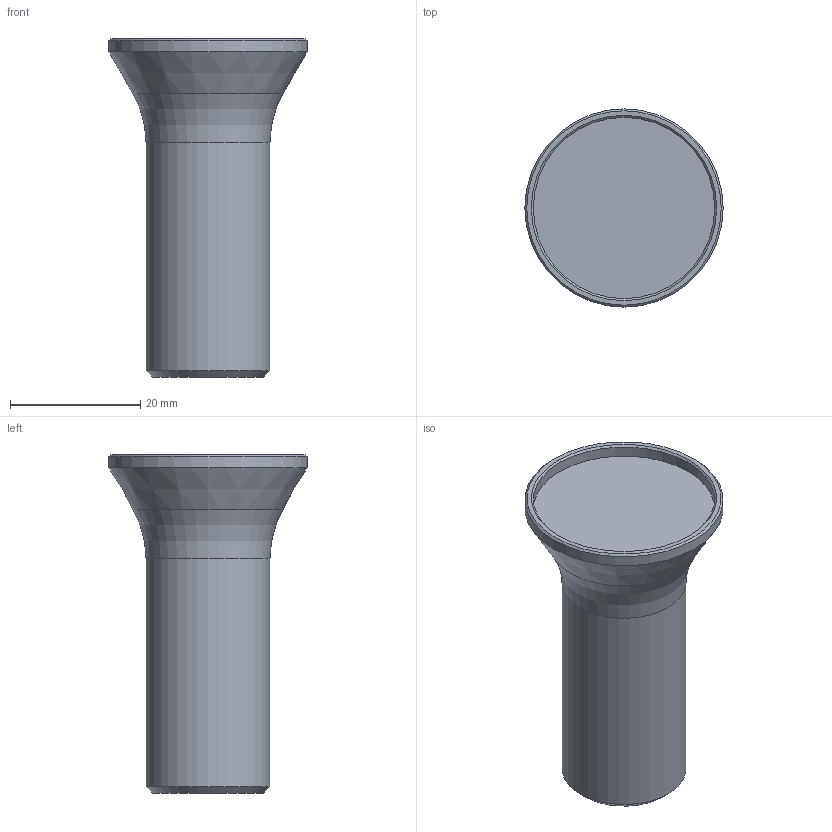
import cadquery as cq
import math

total_height = 52.0
shaft_diameter = 19.06
head_diameter = 30.49
foot_chamfer = 1.0
rim_height = 2.0
rim_chamfer = 0.3
flare_angle = math.radians(30)
flare_radius = 15.0
recess_diameter = 27.89
recess_depth = 2.0
recess_chamfer = 0.3

shaft_radius = shaft_diameter / 2
head_radius = head_diameter / 2
rim_base_z = total_height - rim_height
blend_end_radius = shaft_radius + flare_radius * (1 - math.cos(flare_angle))
cone_height = (head_radius - blend_end_radius) / math.tan(flare_angle)
blend_end_z = rim_base_z - cone_height
blend_start_z = blend_end_z - flare_radius * math.sin(flare_angle)
blend_mid_point = (
    shaft_radius + flare_radius * (1 - math.cos(flare_angle / 2)),
    blend_start_z + flare_radius * math.sin(flare_angle / 2),
)


def make_body():
    """Revolve the shaft, the flared neck and the cylindrical rim as one solid."""
    half_profile = (
        cq.Workplane("XZ")
        .lineTo(shaft_radius - foot_chamfer, 0)
        .lineTo(shaft_radius, foot_chamfer)
        .lineTo(shaft_radius, blend_start_z)
        .threePointArc(blend_mid_point, (blend_end_radius, blend_end_z))
        .lineTo(head_radius, rim_base_z)
        .lineTo(head_radius, total_height - rim_chamfer)
        .lineTo(head_radius - rim_chamfer, total_height)
        .lineTo(0, total_height)
        .close()
    )
    return half_profile.revolve(360, (0, 0, 0), (0, 1, 0))


def cut_recess(body):
    """Sink the flat round recess into the head and chamfer its mouth."""
    recess_radius = recess_diameter / 2
    floor_z = total_height - recess_depth
    half_profile = (
        cq.Workplane("XZ")
        .moveTo(0, floor_z)
        .lineTo(recess_radius, floor_z)
        .lineTo(recess_radius, total_height - recess_chamfer)
        .lineTo(recess_radius + recess_chamfer, total_height)
        .lineTo(0, total_height)
        .close()
    )
    return body.cut(half_profile.revolve(360, (0, 0, 0), (0, 1, 0)))


result = cut_recess(make_body())